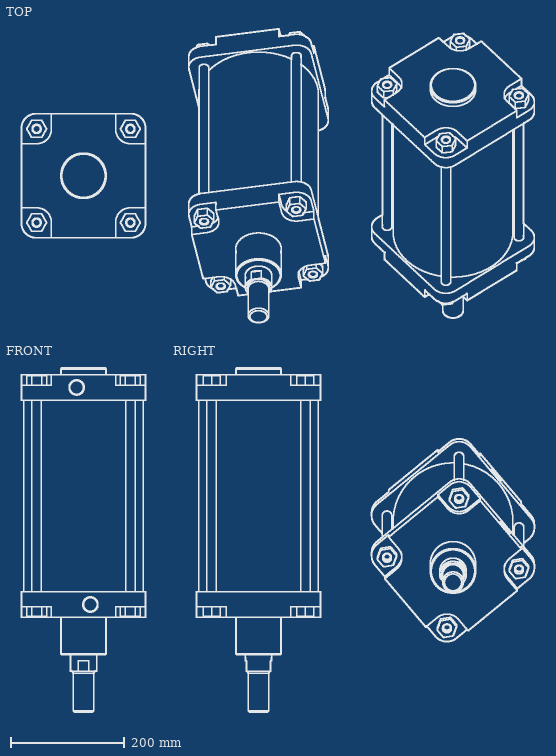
import cadquery as cq
import math

total_height = 609.0
plug_height = 11.5
cap_height = 45.5
front_cap_bottom = 168.0
rear_cap_top = total_height - plug_height
front_cap_top = front_cap_bottom + cap_height
rear_cap_bottom = rear_cap_top - cap_height

cap_width = 220.0
cap_corner_radius = 26.0
gland_diameter = 80.5
gland_length = 66.0
gland_chamfer = 2.0

tie_offset = 83.0
tie_diameter = 17.0
nut_across_flats = 30.5
nut_height = 17.0
socket_diameter = 13.5
socket_depth = nut_height
socket_chamfer = 1.0

pocket_depth = 19.0
pocket_radius = 26.0

port_diameter = 24.5
port_depth = 30.5
port_chamfer = 1.0
port_offset = 12.0

barrel_diameter = 212.0

rod_diameter = 47.0
rod_flat_width = 43.0
rod_flat_length = 18.0
thread_diameter = 36.5
thread_length = 73.0
thread_chamfer = 3.0
root_cone_height = 3.5
root_cone_width = 2.0


def make_cap():
    """Cap with its outer face at z = 0 and its body below, ready for the details of one end."""
    cap = (
        cq.Workplane("XY")
        .rect(cap_width, cap_width)
        .extrude(-cap_height)
        .edges("|Z")
        .fillet(cap_corner_radius)
    )
    pocket_size = cap_width / 2 - tie_offset + pocket_radius
    pocket_center = (cap_width - pocket_size) / 2
    for x_side in (-1, 1):
        for y_side in (-1, 1):
            inner_corner = "|Z and " + ("<X" if x_side > 0 else ">X")
            inner_corner += " and " + ("<Y" if y_side > 0 else ">Y")
            pocket = (
                cq.Workplane("XY")
                .center(x_side * pocket_center, y_side * pocket_center)
                .rect(pocket_size, pocket_size)
                .extrude(-pocket_depth)
                .edges(inner_corner)
                .fillet(pocket_radius)
            )
            cap = cap.cut(pocket)
    tie_holes = (
        cq.Workplane("XY")
        .rect(2 * tie_offset, 2 * tie_offset, forConstruction=True)
        .vertices()
        .circle(tie_diameter / 2)
        .extrude(-cap_height)
    )
    return cap.cut(tie_holes)


def add_boss(cap, length):
    """Round chamfered boss on the outer face."""
    boss = cq.Workplane("XY").circle(gland_diameter / 2).extrude(length)
    return cap.union(boss.faces(">Z").chamfer(gland_chamfer))


def cut_port(cap, x):
    """Blind port in the -Y face at half the cap height, with a chamfered mouth."""
    mouth = cq.Vector(x, -cap_width / 2, -cap_height / 2)
    inward = cq.Vector(0, 1, 0)
    radius = port_diameter / 2
    bore = cq.Solid.makeCylinder(radius, port_depth, mouth, inward)
    countersink = cq.Solid.makeCone(radius + port_chamfer, radius, port_chamfer, mouth, inward)
    return cap.cut(cq.Workplane(bore)).cut(cq.Workplane(countersink))


def make_rear_cap():
    cap = cut_port(add_boss(make_cap(), plug_height), -port_offset)
    return cap.translate((0, 0, rear_cap_top))


def make_front_cap():
    cap = cut_port(add_boss(make_cap(), gland_length), -port_offset)
    return cap.rotate((0, 0, 0), (0, 1, 0), 180).translate((0, 0, front_cap_bottom))


def make_barrel():
    length = rear_cap_bottom - front_cap_top
    return cq.Workplane("XY", origin=(0, 0, front_cap_top)).circle(barrel_diameter / 2).extrude(length)


def make_piston_rod():
    """Exposed rod from the gland face down: round shank, wrench flats, thread chamfered at its free end."""
    rod_top = front_cap_bottom - gland_length
    thread = (
        cq.Workplane("XY")
        .circle(thread_diameter / 2)
        .extrude(thread_length)
        .faces("<Z")
        .chamfer(thread_chamfer)
    )
    shank = (
        cq.Workplane("XY", origin=(0, 0, thread_length))
        .circle(rod_diameter / 2)
        .extrude(rod_top - thread_length)
    )
    flat_stock = (
        cq.Workplane("XY", origin=(0, 0, thread_length))
        .rect(2 * rod_diameter, 2 * rod_diameter)
        .rect(2 * rod_diameter, rod_flat_width)
        .extrude(rod_flat_length)
    )
    root_cone = cq.Solid.makeCone(
        thread_diameter / 2,
        thread_diameter / 2 + root_cone_width,
        root_cone_height,
        cq.Vector(0, 0, thread_length - root_cone_height),
    )
    return shank.cut(flat_stock).union(thread).union(cq.Workplane(root_cone))


def make_tie_rod(x, y):
    """Tie rod with a hexagon nut and a chamfered blind socket at both ends."""
    bottom_seat = front_cap_bottom + pocket_depth
    top_seat = rear_cap_top - pocket_depth
    across_corners = nut_across_flats / math.cos(math.pi / 6)
    tie_rod = (
        cq.Workplane("XY", origin=(0, 0, bottom_seat))
        .circle(tie_diameter / 2)
        .extrude(top_seat - bottom_seat)
    )
    for seat, outward in ((bottom_seat, -1), (top_seat, 1)):
        nut = (
            cq.Workplane("XY", origin=(0, 0, seat))
            .polygon(6, across_corners)
            .extrude(outward * nut_height)
        )
        mouth = cq.Vector(0, 0, seat + outward * nut_height)
        inward = cq.Vector(0, 0, -outward)
        radius = socket_diameter / 2
        socket = cq.Solid.makeCylinder(radius, socket_depth, mouth, inward)
        countersink = cq.Solid.makeCone(radius + socket_chamfer, radius, socket_chamfer, mouth, inward)
        tie_rod = tie_rod.union(nut).cut(cq.Workplane(socket)).cut(cq.Workplane(countersink))
    return tie_rod.translate((x, y, 0))


rear_cap = make_rear_cap()
front_cap = make_front_cap()
barrel = make_barrel()
piston_rod = make_piston_rod()
tie_rods = [
    make_tie_rod(x_side * tie_offset, y_side * tie_offset)
    for x_side in (-1, 1)
    for y_side in (-1, 1)
]

result = cq.Compound.makeCompound(
    [rear_cap.val(), front_cap.val(), barrel.val(), piston_rod.val()]
    + [tie_rod.val() for tie_rod in tie_rods]
)